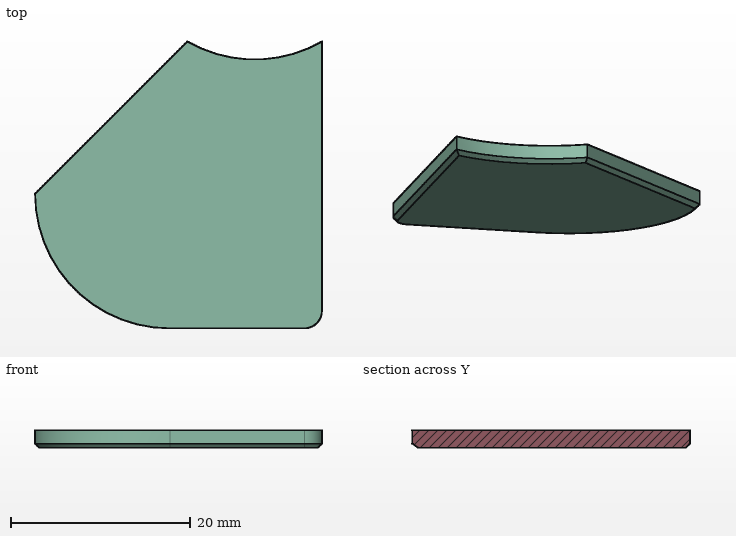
import cadquery as cq
import math

side = 32.0
thickness = 2.0
gauge_radius = 15.0
corner_radius = 2.0
bottom_chamfer = 0.48

concave_chord = gauge_radius
concave_start_x = side - concave_chord
concave_middle_x = side - concave_chord / 2
concave_depth = gauge_radius - math.sqrt(gauge_radius**2 - (concave_chord / 2) ** 2)

convex_middle = gauge_radius * (1 - math.sqrt(0.5))

plate = (
    cq.Workplane("XY")
    .moveTo(gauge_radius, 0)
    .lineTo(side, 0)
    .lineTo(side, side)
    .threePointArc((concave_middle_x, side - concave_depth), (concave_start_x, side))
    .lineTo(0, gauge_radius)
    .threePointArc((convex_middle, convex_middle), (gauge_radius, 0))
    .close()
    .extrude(thickness)
)

corner_edge = cq.selectors.NearestToPointSelector((side, 0, thickness / 2))
rounded_plate = plate.edges(corner_edge).fillet(corner_radius)

result = rounded_plate.faces("<Z").chamfer(bottom_chamfer)